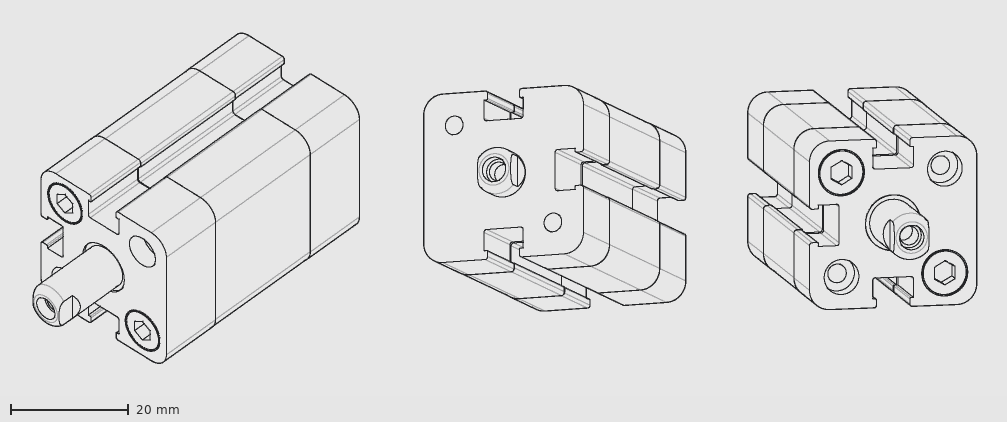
import cadquery as cq
import math

total_length = 67.0
front_rod_length = 14.4
back_rod_length = 4.5
cap_length = 12.25

front_tip_y = -total_length / 2
back_tip_y = total_length / 2
body_front_y = front_tip_y + front_rod_length
body_back_y = back_tip_y - back_rod_length
barrel_front_y = body_front_y + cap_length
barrel_back_y = body_back_y - cap_length

cap_side = 29.1
barrel_side = 29.0
corner_radius = 3.5

cap_slot = (3.55, 2.9, 9.4)
barrel_slot = (3.35, 2.75, 9.6)
slot_angles = (0, 90, 180)
mouth_rim_half = 3.35
slot_ceiling_z = 13.0
lip_inner_radius = 0.2
slot_floor_radius = 0.5

corner_offset = 9.0
through_hole_d = 3.2
counterbore_d = 6.0
counterbore_depth = 3.5
screw_recess_d = 8.0
screw_head_d = 7.5
screw_gap_depth = 0.2
hex_corner_d = 4.15
hex_depth = 2.7

rod_d = 8.0
rod_end_radius = 1.3
rod_recess_d = 9.6
rod_recess_depth = 0.5
flat_width = 6.0
flat_length = 3.35
tip_bore_d = 4.2
tip_bore_depth = 2.0
tip_hole_d = 3.2
tip_hole_depth = 6.7
drill_point_angle = 118.0


def plane_at(y):
    """Section plane across the part at a given Y: local x is X, local y is Z, normal is -Y."""
    return cq.Workplane("XZ", origin=(0, y, 0))


def prism_along_y(side, y_start, y_end):
    """Square bar with rounded long edges."""
    bar = plane_at(y_end).rect(side, side).extrude(y_end - y_start)
    return bar.edges("|Y").fillet(corner_radius)


def slot_cutter(slot, side, y_start, y_end):
    """T-shaped slot opening at the +Z side, with rounded floor corners and rounded lips."""
    chamber_half, mouth_half, floor_z = slot
    length = y_end - y_start
    top_z = side / 2
    lip_outer_radius = mouth_rim_half - mouth_half
    chamber = (
        plane_at(y_end)
        .center(0, (floor_z + slot_ceiling_z) / 2)
        .rect(2 * chamber_half, slot_ceiling_z - floor_z)
        .extrude(length)
        .edges("|Y and <Z")
        .fillet(slot_floor_radius)
    )
    mouth = (
        plane_at(y_end)
        .moveTo(-mouth_rim_half, top_z)
        .radiusArc((-mouth_half, top_z - lip_outer_radius), lip_outer_radius)
        .lineTo(-mouth_half, slot_ceiling_z + lip_inner_radius)
        .radiusArc((-mouth_half - lip_inner_radius, slot_ceiling_z), lip_inner_radius)
        .lineTo(mouth_half + lip_inner_radius, slot_ceiling_z)
        .radiusArc((mouth_half, slot_ceiling_z + lip_inner_radius), lip_inner_radius)
        .lineTo(mouth_half, top_z - lip_outer_radius)
        .radiusArc((mouth_rim_half, top_z), lip_outer_radius)
        .close()
        .extrude(length)
    )
    return chamber.union(mouth)


def body_section(side, slot, y_start, y_end):
    """Slotted length of the body."""
    section = prism_along_y(side, y_start, y_end)
    cutter = slot_cutter(slot, side, y_start, y_end)
    for angle in slot_angles:
        section = section.cut(cutter.rotate((0, 0, 0), (0, 1, 0), -angle))
    return section


def body():
    """Barrel between two end caps."""
    front_cap = body_section(cap_side, cap_slot, body_front_y, barrel_front_y)
    barrel = body_section(barrel_side, barrel_slot, barrel_front_y, barrel_back_y)
    back_cap = body_section(cap_side, cap_slot, barrel_back_y, body_back_y)
    return front_cap.union(barrel).union(back_cap)


def counterbored_holes():
    """Cutter for the two through holes, counterbored at the front."""
    corners = [(corner_offset, corner_offset), (-corner_offset, -corner_offset)]
    bores = plane_at(body_back_y).pushPoints(corners).circle(through_hole_d / 2)
    bores = bores.extrude(body_back_y - body_front_y)
    counterbores = plane_at(body_front_y).pushPoints(corners).circle(counterbore_d / 2)
    return bores.union(counterbores.extrude(-counterbore_depth))


def screw_head_gaps():
    """Cutter for the ring gap and hex socket of the two flush screw heads, hex corners pointing up."""
    corners = [(-corner_offset, corner_offset), (corner_offset, -corner_offset)]
    rings = plane_at(body_front_y).pushPoints(corners).circle(screw_recess_d / 2).circle(screw_head_d / 2)
    cutter = rings.extrude(-screw_gap_depth)
    for x, z in corners:
        socket = plane_at(body_front_y).center(x, z).transformed(rotate=(0, 0, 90))
        cutter = cutter.union(socket.polygon(6, hex_corner_d).extrude(-hex_depth))
    return cutter


def rod_recess():
    """Cutter for the shallow recess around the rod on the front face."""
    return plane_at(body_front_y).circle(rod_recess_d / 2).extrude(-rod_recess_depth)


def flat_cutter():
    """Cutter for the wrench flat on the +X side of the front rod end, ending in a 45 degree ramp."""
    flat_x = flat_width / 2
    rod_x = rod_d / 2
    flat_end_y = front_tip_y + flat_length
    return (
        cq.Workplane("XY")
        .moveTo(flat_x, front_tip_y)
        .lineTo(flat_x, flat_end_y)
        .lineTo(rod_x, flat_end_y + rod_x - flat_x)
        .lineTo(rod_x, front_tip_y)
        .close()
        .extrude(rod_x, both=True)
    )


def tip_hole():
    """Cutter for the stepped blind hole with a drill point in the front rod end."""
    radius = tip_hole_d / 2
    point_length = radius / math.tan(math.radians(drill_point_angle / 2))
    hole_end_y = front_tip_y + tip_hole_depth
    bore_end_y = front_tip_y + tip_bore_depth
    return (
        cq.Workplane("XY")
        .moveTo(0, front_tip_y)
        .lineTo(tip_bore_d / 2, front_tip_y)
        .lineTo(tip_bore_d / 2, bore_end_y)
        .lineTo(radius, bore_end_y)
        .lineTo(radius, hole_end_y)
        .lineTo(0, hole_end_y + point_length)
        .close()
        .revolve(360, (0, 0, 0), (0, 1, 0))
    )


def rod():
    """Piston rod through the body, with the same wrench flats and hole at both ends."""
    bar = plane_at(back_tip_y).circle(rod_d / 2).extrude(total_length)
    bar = bar.faces("<Y or >Y").edges().fillet(rod_end_radius)
    front_cuts = flat_cutter().union(flat_cutter().mirror("YZ")).union(tip_hole())
    return bar.cut(front_cuts).cut(front_cuts.mirror("XZ"))


result = body().cut(counterbored_holes()).cut(screw_head_gaps()).cut(rod_recess()).union(rod())